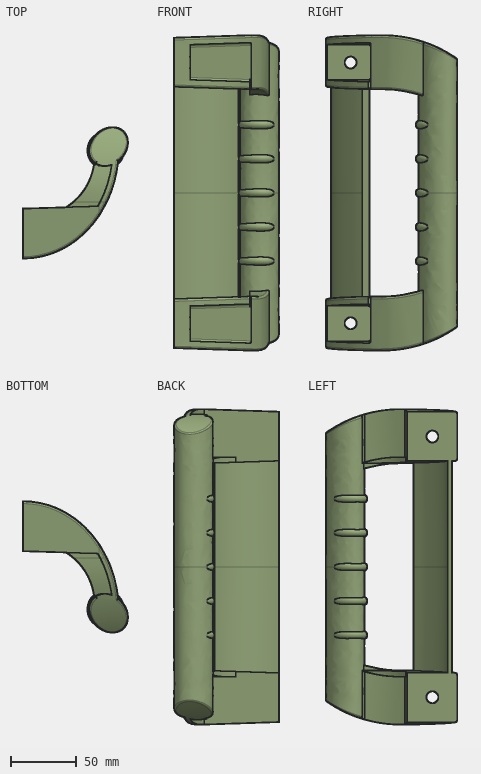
import cadquery as cq
import math

HALF_LENGTH = 120.1
REACH = 144.2

WALL_X_RADIUS = 73.0
WALL_Y_RADIUS = 84.0
ARM_WALL = 4.5

FOOT_HEIGHT = 41.3
FOOT_BOTTOM = HALF_LENGTH - FOOT_HEIGHT
FOOT_DEPTH = 38.2
FOOT_BACK_SLOPE = 0.03
FOOT_TAPER = 2.0
TAPER_LENGTH = 57.7
RIM_FILLET = 1.7

POCKET_START_X = 12.3
POCKET_BACK_Y = 34.4
POCKET_MARGIN = 5.8
POCKET_FILLET = 2.0
SCREW_DIAMETER = 9.0
SCREW_Y = 19.0
SCREW_Z = 99.2

CROWN_START_Y = 43.2
CROWN_RADIUS = 97.8
CROWN_ANGLE = 45.0
WEB_THICKNESS = 4.8
WEB_START = (31.2, FOOT_DEPTH)
WEB_MIDDLE = (45.2, 50.5)
WEB_END = (53.8, 70.9)

PLATE_INSET = 3.8
PLATE_THICKNESS = 3.5
PLATE_WIDTH = 49.3

GRIP_X = 65.0
GRIP_Y = 85.3
GRIP_LONG_RADIUS = 16.3
GRIP_SHORT_RADIUS = 13.2
GRIP_ANGLE = 45.0
GRIP_END_FILLET = 1.5

RIB_COUNT = 5
RIB_PITCH = 26.0
RIB_SECTION_RADIUS = 3.4
RIB_RING_RADIUS = 10.5
RIB_X = 63.0
RIB_Y = 82.5


def wall_prism(inset, bottom, top):
    """Upright solid bounded by the outer wall moved inwards."""
    return (
        cq.Workplane("XY", origin=(0, WALL_Y_RADIUS, bottom))
        .ellipse(WALL_X_RADIUS - inset, WALL_Y_RADIUS - inset)
        .extrude(top - bottom)
    )


def crown_drop(angle):
    """Fall of the crown arc after turning through an angle."""
    return CROWN_RADIUS * (1 - math.cos(math.radians(angle)))


def crowned_slab(bottom, top):
    """Slab whose two ends are flat over the feet and fall along an arc towards the grip."""
    middle_y, end_y = (
        CROWN_START_Y + CROWN_RADIUS * math.sin(math.radians(angle))
        for angle in (CROWN_ANGLE / 2, CROWN_ANGLE)
    )
    middle_drop = crown_drop(CROWN_ANGLE / 2)
    end_drop = crown_drop(CROWN_ANGLE)
    return (
        cq.Workplane("YZ")
        .moveTo(-REACH, top)
        .lineTo(CROWN_START_Y, top)
        .threePointArc((middle_y, top - middle_drop), (end_y, top - end_drop))
        .lineTo(end_y, bottom - end_drop)
        .threePointArc((middle_y, bottom - middle_drop), (CROWN_START_Y, bottom))
        .lineTo(-REACH, bottom)
        .close()
        .extrude(REACH)
    )


def tapered_slab(bottom, top):
    """Slab that loses height towards the mounting face."""
    return (
        cq.Workplane("XZ")
        .moveTo(0, bottom + FOOT_TAPER)
        .lineTo(TAPER_LENGTH, bottom)
        .lineTo(TAPER_LENGTH, bottom - REACH)
        .lineTo(REACH, bottom - REACH)
        .lineTo(REACH, top)
        .lineTo(TAPER_LENGTH, top)
        .lineTo(0, top - FOOT_TAPER)
        .close()
        .extrude(REACH, both=True)
    )


def foot_prism():
    """Block with a sloping back face, before it is trimmed to the outer wall."""
    return (
        cq.Workplane("XY")
        .lineTo(REACH, 0)
        .lineTo(REACH, FOOT_DEPTH + FOOT_BACK_SLOPE * REACH)
        .lineTo(0, FOOT_DEPTH)
        .close()
        .extrude(HALF_LENGTH)
    )


def arm_prism():
    """Block from the foot to the grip with a curved inner edge."""
    return (
        cq.Workplane("XY")
        .moveTo(*WEB_START)
        .threePointArc(WEB_MIDDLE, WEB_END)
        .lineTo(GRIP_X, GRIP_Y)
        .lineTo(REACH, WEB_END[1])
        .lineTo(REACH, FOOT_DEPTH)
        .close()
        .extrude(HALF_LENGTH)
    )


def grip_prism():
    """Upper half of the tilted oval bar."""
    return (
        cq.Workplane("XY")
        .transformed(offset=(GRIP_X, GRIP_Y, 0), rotate=(0, 0, GRIP_ANGLE))
        .ellipse(GRIP_LONG_RADIUS, GRIP_SHORT_RADIUS)
        .extrude(HALF_LENGTH)
    )


def half_grip():
    """Upper half of the grip with its crowned, rounded end."""
    grip = grip_prism().intersect(crowned_slab(-HALF_LENGTH, HALF_LENGTH))
    return grip.faces(">Z").edges().fillet(GRIP_END_FILLET)


def bracket():
    """Solid foot and arm with rounded rims."""
    body = foot_prism().union(arm_prism()).intersect(wall_prism(0, 0, HALF_LENGTH))
    body = body.intersect(crowned_slab(FOOT_BOTTOM, HALF_LENGTH))
    body = body.intersect(tapered_slab(FOOT_BOTTOM, HALF_LENGTH))
    return body.faces("%EXTRUSION").edges("not |Z").fillet(RIM_FILLET)


def arm_hollow():
    """Space between foot, arm wall and grip, open at the end and closed by the web."""
    hollow = wall_prism(ARM_WALL, 0, HALF_LENGTH).cut(foot_prism()).cut(grip_prism())
    return hollow.intersect(crowned_slab(FOOT_BOTTOM + WEB_THICKNESS, 2 * HALF_LENGTH))


def foot_pocket():
    """Pocket open through the outer wall, with ends parallel to the ends of the foot."""
    pocket = (
        cq.Workplane("XY")
        .box(REACH, POCKET_BACK_Y + REACH, HALF_LENGTH, centered=False)
        .translate((POCKET_START_X, -REACH, 0))
        .intersect(tapered_slab(FOOT_BOTTOM + POCKET_MARGIN, HALF_LENGTH - POCKET_MARGIN))
    )
    return pocket.faces(">Y").edges("not |Z").fillet(POCKET_FILLET)


def screw_hole():
    """Hole from the mounting face into the pocket."""
    return (
        cq.Workplane("YZ")
        .center(SCREW_Y, SCREW_Z)
        .circle(SCREW_DIAMETER / 2)
        .extrude(2 * POCKET_START_X)
    )


def half_plate():
    """Upper half of the curved plate between the feet."""
    plate = wall_prism(PLATE_INSET, 0, FOOT_BOTTOM + 2 * FOOT_TAPER)
    plate = plate.cut(wall_prism(PLATE_INSET + PLATE_THICKNESS, 0, HALF_LENGTH))
    return plate.intersect(cq.Workplane("XY").box(PLATE_WIDTH, FOOT_DEPTH, HALF_LENGTH, centered=False))


def finger_rib(z):
    """Ring around the grip, sunk on its far side."""
    return cq.Workplane(cq.Solid.makeTorus(
        RIB_RING_RADIUS, RIB_SECTION_RADIUS, cq.Vector(RIB_X, RIB_Y, z)))


half = bracket().cut(arm_hollow()).cut(foot_pocket()).cut(screw_hole())
half = half.union(half_grip()).union(half_plate())
result = half.union(half.mirror("XY"))
for index in range(RIB_COUNT):
    result = result.union(finger_rib((index - (RIB_COUNT - 1) / 2) * RIB_PITCH))